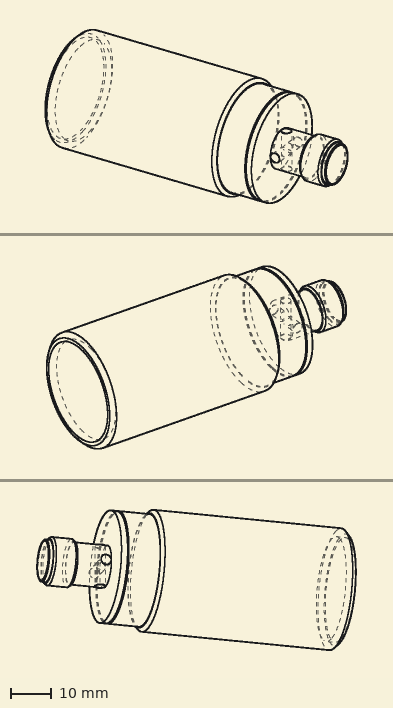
import cadquery as cq

total_length = 75.8

barrel_radius = 15.0
front_chamfer = 1.2
rear_chamfer = 0.9
barrel_length = 49.95
neck_radius = 13.9
housing_length = 57.9

face_radius = 12.9
face_thickness = 2.3

groove_width = 0.3
groove_depth = 0.15
flange_end = 59.8
stem_radius = 5.2
collar_start = 68.45
collar_end = 74.7
collar_radius = 6.0
collar_chamfer_length = 0.6
collar_chamfer_height = 0.45
tip_rim = 75.6
tip_face_radius = 4.9

window_radius = 1.3
window_gap = 0.1
window_x = flange_end + window_gap + window_radius


def revolve_profile(points):
    """Revolve an outline of (x, radius) points about the X axis."""
    return cq.Workplane("XY").polyline(points).close().revolve(360, (0, 0, 0), (1, 0, 0))


def make_sensing_face():
    return cq.Workplane("YZ").circle(face_radius).extrude(face_thickness)


def make_housing(sensing_face):
    body = revolve_profile([
        (0, 0),
        (0, barrel_radius - front_chamfer),
        (front_chamfer, barrel_radius),
        (barrel_length - rear_chamfer, barrel_radius),
        (barrel_length, barrel_radius - rear_chamfer),
        (barrel_length, neck_radius),
        (housing_length, neck_radius),
        (housing_length, 0),
    ])
    return body.cut(sensing_face)


def make_indicator():
    """Two crossed rods through the stem, one along Y and one along Z."""
    rod_z = cq.Workplane("XY").circle(window_radius).extrude(stem_radius, both=True)
    rod_y = rod_z.rotate((0, 0, 0), (1, 0, 0), 90)
    return rod_z.union(rod_y).translate((window_x, 0, 0))


def make_connector(indicator):
    groove_radius = neck_radius - groove_depth
    flange_start = housing_length + groove_width
    collar_edge_radius = collar_radius - collar_chamfer_height
    body = revolve_profile([
        (housing_length, 0),
        (housing_length, groove_radius),
        (flange_start, groove_radius),
        (flange_start, neck_radius),
        (flange_end, neck_radius),
        (flange_end, stem_radius),
        (collar_start, stem_radius),
        (collar_start, collar_edge_radius),
        (collar_start + collar_chamfer_length, collar_radius),
        (collar_end - collar_chamfer_length, collar_radius),
        (collar_end, collar_edge_radius),
        (collar_end, stem_radius),
        (tip_rim, stem_radius),
        (tip_rim, tip_face_radius),
        (total_length, tip_face_radius),
        (total_length, 0),
    ])
    return body.cut(indicator)


sensing_face = make_sensing_face()
housing = make_housing(sensing_face)
indicator = make_indicator()
connector = make_connector(indicator)

result = cq.Compound.makeCompound([
    *housing.solids().vals(),
    *sensing_face.solids().vals(),
    *connector.solids().vals(),
    *indicator.solids().vals(),
])